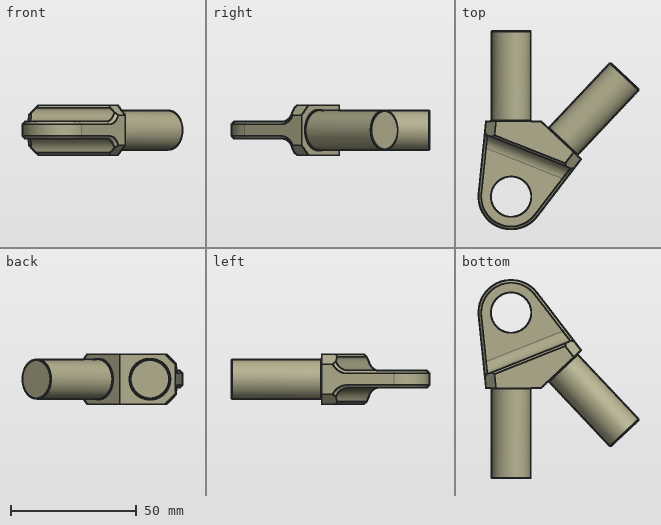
import cadquery as cq
import math

post_angle = 43.3
post_radius = 7.9
post_reach = 65.95
post_edge = 0.3
face_distance = 30.0
seat_outer_width = 10.0
head_thickness = 20.0
head_chamfer = 4.0
eye_radius = 13.0
hole_radius = 8.0
plate_thickness = 6.95
plate_length = 14.3
transition_radius = 5.0
shoulder_chamfer = 1.0
rim_chamfer = 1.2

half_angle = post_angle / 2
half_head = head_thickness / 2
half_plate = plate_thickness / 2


def rotated(x, y, degrees):
    """Turn a point counter-clockwise about the origin."""
    angle = math.radians(degrees)
    return (
        x * math.cos(angle) - y * math.sin(angle),
        x * math.sin(angle) + y * math.cos(angle),
    )


corner_x, corner_y = rotated(seat_outer_width, face_distance, -half_angle)
peak_y = face_distance / math.cos(math.radians(half_angle))

corner_distance = math.hypot(corner_x, corner_y)
tangent_angle = math.atan2(corner_y, corner_x) - math.acos(eye_radius / corner_distance)
tangent_x = eye_radius * math.cos(tangent_angle)
tangent_y = eye_radius * math.sin(tangent_angle)


def head_blank():
    """Full-thickness outline of the seat faces and the rounded eye."""
    return (
        cq.Workplane("XY")
        .workplane(offset=-half_head)
        .moveTo(tangent_x, tangent_y)
        .lineTo(corner_x, corner_y)
        .lineTo(0, peak_y)
        .lineTo(-corner_x, corner_y)
        .lineTo(-tangent_x, tangent_y)
        .threePointArc((0, -eye_radius), (tangent_x, tangent_y))
        .close()
        .extrude(head_thickness)
    )


def side_chamfer_cutter():
    """Triangular bar that bevels the upper edge of the head along the right side."""
    side_angle = math.degrees(math.atan2(corner_y - tangent_y, corner_x - tangent_x))
    return (
        cq.Workplane("XZ")
        .moveTo(0, half_head)
        .lineTo(-head_chamfer, half_head)
        .lineTo(0, half_head - head_chamfer)
        .close()
        .extrude(corner_distance, both=True)
        .rotate((0, 0, 0), (0, 0, 1), side_angle - 90)
        .translate((corner_x, corner_y, 0))
    )


def relief_cutter():
    """Material above the eye plate, ending in the concave transition and shoulder."""
    wall_y = plate_length + transition_radius
    arc_height = half_plate + transition_radius
    arc_offset = transition_radius * math.sin(math.radians(45))
    outer_y = -2 * eye_radius
    return (
        cq.Workplane("YZ")
        .moveTo(outer_y, half_plate)
        .lineTo(plate_length, half_plate)
        .threePointArc(
            (plate_length + arc_offset, arc_height - arc_offset),
            (wall_y, arc_height),
        )
        .lineTo(wall_y, half_head - shoulder_chamfer)
        .lineTo(wall_y + shoulder_chamfer, half_head)
        .lineTo(outer_y, half_head)
        .close()
        .extrude(2 * corner_x, both=True)
    )


def chamfer_plate_rim(body):
    """Bevel the plate's rim, continuing up the sides of the concave transition."""
    for level in (-half_plate, half_plate):
        rim_point = cq.selectors.NearestToPointSelector((0, -eye_radius, level))
        body = body.edges(rim_point).chamfer(rim_chamfer)
    return body


def post():
    """Round post along +Y with a chamfered tip and a small flare at its seat."""
    return (
        cq.Workplane("XY")
        .moveTo(0, face_distance - post_edge)
        .lineTo(post_radius + post_edge, face_distance - post_edge)
        .lineTo(post_radius + post_edge, face_distance)
        .lineTo(post_radius, face_distance + post_edge)
        .lineTo(post_radius, post_reach - post_edge)
        .lineTo(post_radius - post_edge, post_reach)
        .lineTo(0, post_reach)
        .close()
        .revolve(360, (0, 0, 0), (0, 1, 0))
    )


right_bevel = side_chamfer_cutter()
body = head_blank()
for cutter in (right_bevel, right_bevel.mirror("YZ"), relief_cutter()):
    body = body.cut(cutter).cut(cutter.mirror("XY"))
body = chamfer_plate_rim(body)
eye_hole = cq.Workplane("XY").workplane(offset=-half_head).circle(hole_radius).extrude(head_thickness)
body = body.cut(eye_hole)
for tilt in (-half_angle, half_angle):
    body = body.union(post().rotate((0, 0, 0), (0, 0, 1), tilt))

result = body.rotate((0, 0, 0), (0, 0, 1), -half_angle)